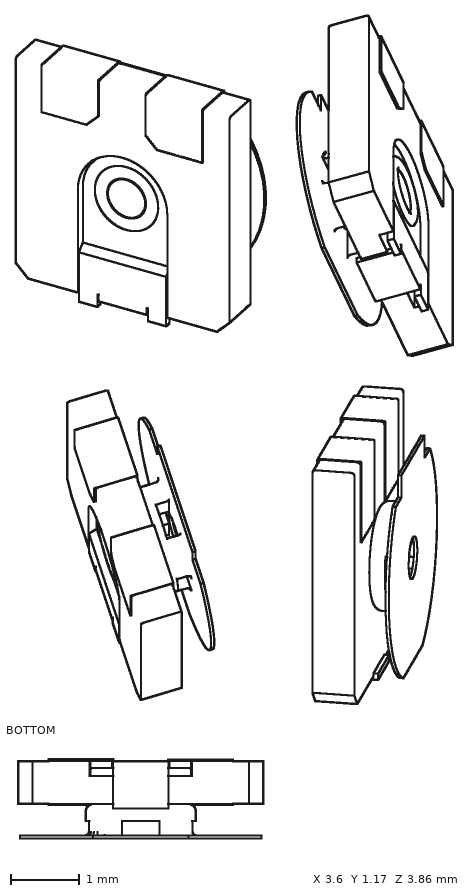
import cadquery as cq
import math


body_width = 3.6
body_depth = 0.63
body_top = 1.947
body_bottom = -1.75
body_corner_chamfer = 0.21
body_edge_radius = 0.05

terminal_inner_x = 0.4
terminal_outer_x = 1.35
terminal_top_thickness = 0.013
terminal_back_thickness = 0.015
terminal_back_bottom = 0.7
terminal_edge_radius = 0.03
terminal_corner_chamfer = 0.19
left_terminal_thickness = 0.03
left_terminal_bottom = 1.16
right_terminal_thickness = 0.02
right_terminal_bottom = 1.06

recess_half_width = 0.753
strip_side_gap = 0.018
strip_half_width = recess_half_width - strip_side_gap
strip_thickness = 0.1
strip_set_back = 0.12
recess_depth = strip_set_back + strip_thickness
ramp_top = -0.955
ramp_bottom = -1.06
tab_bottom = -1.9
tab_inner_x = 0.425
slit_width = 0.02
slit_top = -1.69
shelf_half_width = tab_inner_x - slit_width
shelf_top = -1.7
shelf_bottom = -1.8
shelf_back = body_depth + 0.07

hole_radius = 0.315
eyelet_outer_radius = 0.545
eyelet_lip_radius = (eyelet_outer_radius - hole_radius) / 2
eyelet_lip_center = hole_radius + eyelet_lip_radius
eyelet_lip_y = strip_set_back + strip_thickness / 2

cup_radius = 0.81
cup_edge_radius = 0.11
rim_back = 0.883
slot_width = 0.55
neck_flare = 0.05

disc_thickness = 0.05
disc_back = 1.14
disc_front = disc_back - disc_thickness
disc_radius = 1.775
disc_bottom = -1.63
disc_shoulder = 1.255
disc_tab_half_width = 0.86
disc_tab_top = 1.6


def box(x_range, y_range, z_range):
    """Box spanning the given (low, high) ranges."""
    ranges = (x_range, y_range, z_range)
    size = [high - low for low, high in ranges]
    corner = [low for low, high in ranges]
    return cq.Workplane("XY").box(*size, centered=False).translate(corner)


def extrude_along_y(sketch_on, y_start, y_end):
    """Draw an outline in X-Z with sketch_on and extrude it from y_start to y_end."""
    plane = cq.Workplane("XZ", origin=(0, y_start, 0))
    return sketch_on(plane).extrude(y_start - y_end)


def y_cylinder(radius, y_start, y_end):
    """Cylinder on the rotor axis."""
    return extrude_along_y(lambda plane: plane.circle(radius), y_start, y_end)


def arch(half_width, bottom, y_start, y_end):
    """Plate with parallel sides and a round top centred on the rotor axis."""
    def outline(plane):
        return (
            plane.moveTo(-half_width, bottom)
            .lineTo(-half_width, 0)
            .threePointArc((0, half_width), (half_width, 0))
            .lineTo(half_width, bottom)
            .close()
        )
    return extrude_along_y(outline, y_start, y_end)


def make_body():
    """Flat block with bottom corners cut off, rounded top edges and the front recess."""
    half_width = body_width / 2
    body = box((-half_width, half_width), (0, body_depth), (body_bottom, body_top))
    body = body.edges("|Y and <Z").chamfer(body_corner_chamfer)
    body = body.edges("|X and >Z").fillet(body_edge_radius)
    return body.cut(arch(recess_half_width, body_bottom, 0, recess_depth))


def make_terminal(side, thickness, bottom):
    """Terminal wrapped over the top edge; side is -1 for -X and 1 for +X."""
    inner = side * terminal_inner_x
    outer = side * terminal_outer_x
    x_range = (min(inner, outer), max(inner, outer))
    top = body_top + terminal_top_thickness
    back = body_depth + terminal_back_thickness
    terminal = box(x_range, (-thickness, back), (terminal_back_bottom, top))
    terminal = terminal.edges("|X and >Z").fillet(terminal_edge_radius)
    inside = box(x_range, (0, body_depth), (terminal_back_bottom, body_top - body_edge_radius))
    terminal = terminal.cut(inside)

    def outside_front_pad(plane):
        return (
            plane.moveTo(inner, terminal_back_bottom)
            .lineTo(inner, bottom + terminal_corner_chamfer)
            .lineTo(inner + side * terminal_corner_chamfer, bottom)
            .lineTo(outer, bottom)
            .lineTo(outer, terminal_back_bottom)
            .close()
        )
    return terminal.cut(extrude_along_y(outside_front_pad, -thickness, 0))


def make_strip():
    """Bent strip: deep arched part, ramp, flush lower part, two tabs and a shelf."""
    profile = (
        cq.Workplane("YZ", origin=(-strip_half_width, 0, 0))
        .moveTo(strip_set_back, strip_half_width)
        .lineTo(strip_set_back, ramp_top)
        .lineTo(0, ramp_bottom)
        .lineTo(0, tab_bottom)
        .lineTo(strip_thickness, tab_bottom)
        .lineTo(strip_thickness, ramp_bottom)
        .lineTo(recess_depth, ramp_top)
        .lineTo(recess_depth, strip_half_width)
        .close()
        .extrude(2 * strip_half_width)
    )
    strip = profile.intersect(arch(strip_half_width, tab_bottom, 0, recess_depth))
    strip = strip.cut(box((-tab_inner_x, tab_inner_x), (0, strip_thickness), (tab_bottom, slit_top)))
    shelf = box((-shelf_half_width, shelf_half_width), (0, shelf_back), (shelf_bottom, shelf_top))
    bridge = box((-shelf_half_width, shelf_half_width), (0, strip_thickness), (shelf_top, slit_top))
    return strip.union(shelf).union(bridge)


def make_eyelet_lip():
    """Rounded ring round the hole, centred at mid-thickness of the strip."""
    return cq.Workplane("XY").add(
        cq.Solid.makeTorus(
            eyelet_lip_center,
            eyelet_lip_radius,
            cq.Vector(0, eyelet_lip_y, 0),
            cq.Vector(0, 1, 0),
        )
    )


def make_cup():
    """Round cup flaring out to the disc, with a cross slot behind its rim."""
    flare_radius = cup_radius + neck_flare
    flare_front = disc_front - neck_flare
    cup = (
        cq.Workplane("XY")
        .moveTo(0, body_depth)
        .lineTo(cup_radius - cup_edge_radius, body_depth)
        .radiusArc((cup_radius, body_depth + cup_edge_radius), -cup_edge_radius)
        .lineTo(cup_radius, flare_front)
        .radiusArc((flare_radius, disc_front), neck_flare)
        .lineTo(0, disc_front)
        .close()
        .revolve(360, (0, 0, 0), (0, 1, 0))
    )
    along = (-flare_radius, flare_radius)
    across = (-slot_width / 2, slot_width / 2)
    slot_depth = (rim_back, disc_front)
    cup = cup.cut(box(along, slot_depth, across))
    return cup.cut(box(across, slot_depth, along))


def make_disc():
    """Round disc with a flat bottom and a square tab rising from its shoulders."""
    def outline(plane):
        shoulder_x = math.sqrt(disc_radius**2 - disc_shoulder**2)
        bottom_x = math.sqrt(disc_radius**2 - disc_bottom**2)
        return (
            plane.moveTo(-bottom_x, disc_bottom)
            .threePointArc((-disc_radius, 0), (-shoulder_x, disc_shoulder))
            .lineTo(-disc_tab_half_width, disc_shoulder)
            .lineTo(-disc_tab_half_width, disc_tab_top)
            .lineTo(disc_tab_half_width, disc_tab_top)
            .lineTo(disc_tab_half_width, disc_shoulder)
            .lineTo(shoulder_x, disc_shoulder)
            .threePointArc((disc_radius, 0), (bottom_x, disc_bottom))
            .close()
        )
    return extrude_along_y(outline, disc_front, disc_back)


part = make_body()
part = part.union(make_terminal(-1, left_terminal_thickness, left_terminal_bottom))
part = part.union(make_terminal(1, right_terminal_thickness, right_terminal_bottom))
part = part.union(make_strip())
part = part.union(make_eyelet_lip())
part = part.union(make_cup())
part = part.union(make_disc())
result = part.cut(y_cylinder(hole_radius, 0, disc_back))